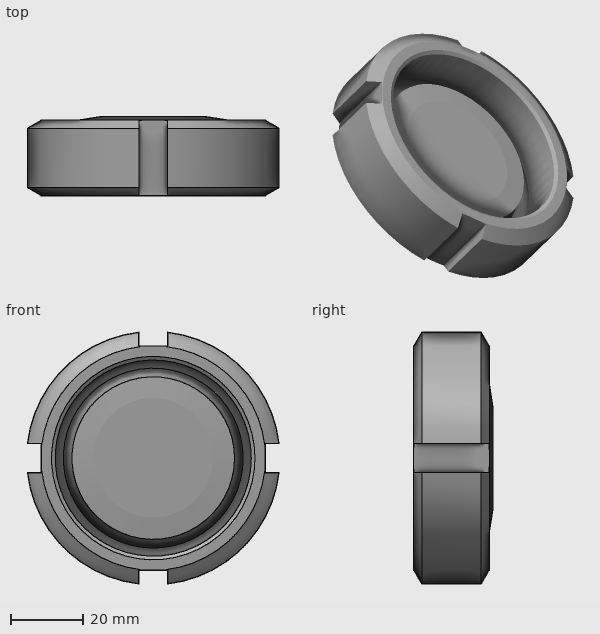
import cadquery as cq
import math

OUTER_RADIUS = 35.0
FACE_RADIUS = 31.0
RING_WIDTH = 21.0
OUTER_CHAMFER_ANGLE = 30.0

MOUTH_RADIUS = 28.1
BORE_RADIUS = 54.19 / 2
MOUTH_CHAMFER_ANGLE = 60.0
FLOOR_Y = 17.7
GROOVE_RADIUS = 2.75
GROOVE_CENTER_RADIUS = 25.25

PLUG_BASE_RADIUS = 49.7 / 2
PLUG_EDGE_RADIUS = 22.45
PLUG_FLAT_RADIUS = 16.5
PLUG_FLAT_Y = 8.0
PLUG_RIM_ANGLE = 5.0

BACK_Y = 22.0
BACK_FLAT_RADIUS = 14.0
BACK_RIM_ANGLE = 8.8

SLOT_WIDTH = 8.0
SLOT_FLOOR_RADIUS = 31.0
SLOT_COUNT = 4


def tangent(angle):
    return math.tan(math.radians(angle))


def turned_body():
    """Ring, undercut bore and central plug as one revolved half section."""
    chamfer_depth = (OUTER_RADIUS - FACE_RADIUS) * tangent(OUTER_CHAMFER_ANGLE)
    mouth_depth = (MOUTH_RADIUS - BORE_RADIUS) / tangent(MOUTH_CHAMFER_ANGLE)
    back_rim_radius = BACK_FLAT_RADIUS + (BACK_Y - RING_WIDTH) / tangent(BACK_RIM_ANGLE)
    plug_edge_y = PLUG_FLAT_Y + (PLUG_EDGE_RADIUS - PLUG_FLAT_RADIUS) * tangent(PLUG_RIM_ANGLE)

    groove_center_y = FLOOR_Y - GROOVE_RADIUS
    groove_start_angle = -math.acos((BORE_RADIUS - GROOVE_CENTER_RADIUS) / GROOVE_RADIUS)
    groove_start_y = groove_center_y + GROOVE_RADIUS * math.sin(groove_start_angle)
    groove_bottom = (GROOVE_CENTER_RADIUS + GROOVE_RADIUS, groove_center_y)

    section = (
        cq.Workplane("XY")
        .moveTo(0, BACK_Y)
        .lineTo(BACK_FLAT_RADIUS, BACK_Y)
        .lineTo(back_rim_radius, RING_WIDTH)
        .lineTo(FACE_RADIUS, RING_WIDTH)
        .lineTo(OUTER_RADIUS, RING_WIDTH - chamfer_depth)
        .lineTo(OUTER_RADIUS, chamfer_depth)
        .lineTo(FACE_RADIUS, 0)
        .lineTo(MOUTH_RADIUS, 0)
        .lineTo(BORE_RADIUS, mouth_depth)
        .lineTo(BORE_RADIUS, groove_start_y)
        .threePointArc(groove_bottom, (GROOVE_CENTER_RADIUS, FLOOR_Y))
        .lineTo(PLUG_BASE_RADIUS, FLOOR_Y)
        .lineTo(PLUG_EDGE_RADIUS, plug_edge_y)
        .lineTo(PLUG_FLAT_RADIUS, PLUG_FLAT_Y)
        .lineTo(0, PLUG_FLAT_Y)
        .close()
    )
    return section.revolve(360, (0, 0), (0, 1))


def cut_spanner_slots(body):
    """Flat-bottomed slots across the full width of the rim."""
    slot_depth = OUTER_RADIUS - SLOT_FLOOR_RADIUS
    slot = cq.Workplane("XY").box(SLOT_WIDTH, RING_WIDTH, slot_depth, centered=(True, False, False))
    slot = slot.translate((0, 0, SLOT_FLOOR_RADIUS))
    for index in range(SLOT_COUNT):
        body = body.cut(slot.rotate((0, 0, 0), (0, 1, 0), index * 360 / SLOT_COUNT))
    return body


result = cut_spanner_slots(turned_body())